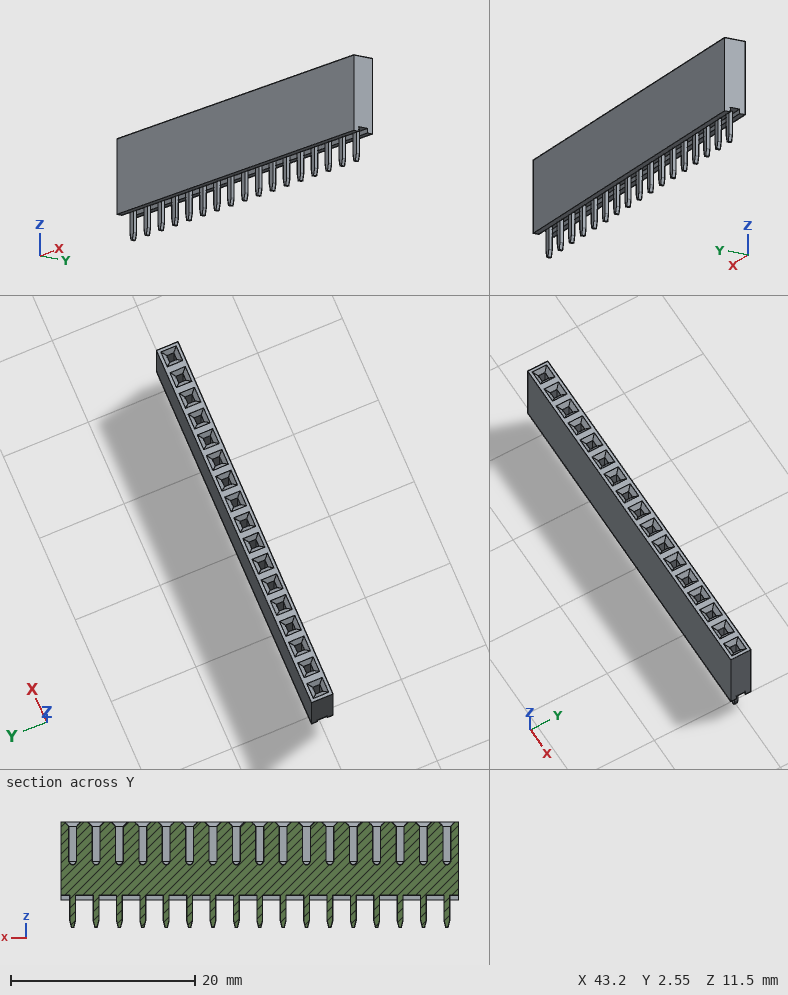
import cadquery as cq

contact_count = 17
length = 43.2
width = 2.55
body_height = 8.5
pitch = length / contact_count

channel_width = 1.15
channel_depth = 0.5

tail_length = 3.0
tail_width = 0.65
tail_thickness = 0.45
tip_length = 0.78
tip_width = 0.25

socket_size = 0.8
socket_depth = 4.3

rib_thickness = 0.75
funnel_mouth = pitch - rib_thickness
funnel_depth = (funnel_mouth - socket_size) / 2

saddle_width = 0.7
saddle_thickness = 0.35
saddle_depth = saddle_width / 2

cell_centers = [(i - (contact_count - 1) / 2) * pitch for i in range(contact_count)]

def make_body():
    """Block standing on Z = 0 with the channel open at both ends."""
    block = cq.Workplane("XY").box(length, width, body_height, centered=(True, True, False))
    channel = cq.Workplane("XY").box(length, channel_width, channel_depth, centered=(True, True, False))
    return block.cut(channel)

def make_funnel():
    """Inverted square pyramid frustum, mouth flush with the top face."""
    return (
        cq.Workplane("XY", origin=(0, 0, body_height))
        .rect(funnel_mouth, funnel_mouth)
        .workplane(offset=-funnel_depth)
        .rect(socket_size, socket_size)
        .loft(ruled=True)
    )

def make_socket():
    """Square hole from the top face down to its flat floor."""
    return cq.Workplane("XY", origin=(0, 0, body_height)).rect(socket_size, socket_size).extrude(-socket_depth)

def make_saddle():
    """Half-round recess below the middle of the socket floor."""
    half_width = saddle_width / 2
    floor = body_height - socket_depth
    return (
        cq.Workplane("XZ")
        .moveTo(-half_width, floor)
        .threePointArc((0, floor - saddle_depth), (half_width, floor))
        .close()
        .extrude(saddle_thickness / 2, both=True)
    )

def make_tail():
    """Blade from the channel roof down to the narrowed tip."""
    shoulder = tip_length - tail_length
    return (
        cq.Workplane("XZ")
        .polyline([
            (-tail_width / 2, channel_depth),
            (-tail_width / 2, shoulder),
            (-tip_width / 2, -tail_length),
            (tip_width / 2, -tail_length),
            (tail_width / 2, shoulder),
            (tail_width / 2, channel_depth),
        ])
        .close()
        .extrude(tail_thickness / 2, both=True)
    )

contact_cavity = make_funnel().union(make_socket()).union(make_saddle())
tail = make_tail()

result = make_body()
for x in cell_centers:
    position = (x, 0, 0)
    result = result.cut(contact_cavity.translate(position))
    result = result.union(tail.translate(position))